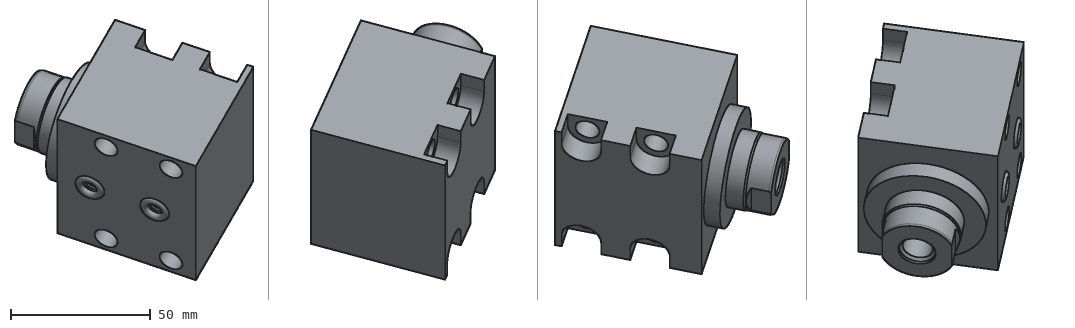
import cadquery as cq

total_length = 76.7
block_length = 54.2
block_depth = 50.85
block_height = 63.5
block_left = total_length - block_length
axis_y = 25.55

flange_diameter = 44.4
flange_thickness = 6.0
neck_diameter = 28.8
neck_length = 6.6
tip_diameter = 28.2
shoulder_length = 0.8
tip_chamfer_length = 0.9
tip_chamfer_depth = 0.3
flange_left = block_left - flange_thickness
neck_left = flange_left - neck_length

flat_spacing = 25.4
flat_length = 7.45
cutter_margin = 0.8

bore_diameter = 11.05
bore_mouth_diameter = 13.65
bore_throat_diameter = 13.05
bore_mouth_length = 0.8
bore_taper_end = 1.9
bore_depth = 15.35

bolt_hole_diameter = 8.9
bolt_pitch_x = 25.4
bolt_pitch_z = 50.8
first_bolt_x = 41.6
slot_width = 14.6
slot_depth = 8.8
bolt_columns = (first_bolt_x, first_bolt_x + bolt_pitch_x)

first_port_x = 35.2
ring_outer_diameter = 11.35
ring_inner_diameter = 5.6
ring_height = 1.15
port_diameter = 3.2
port_mouth_diameter = 4.5
gland_depth = 1.5
port_depth = 1.5
port_cone_height = 0.9
port_columns = (first_port_x, first_port_x + bolt_pitch_x)


def make_block():
    return cq.Workplane("XY").box(
        block_length, block_depth, block_height, centered=(False, False, True)
    ).translate((block_left, 0, 0))


def make_spindle():
    """Revolve the stepped flange, neck and tip about the spindle axis."""
    tip_radius = tip_diameter / 2
    neck_radius = neck_diameter / 2
    flange_radius = flange_diameter / 2
    profile = [
        (0, 0),
        (0, tip_radius - tip_chamfer_depth),
        (tip_chamfer_length, tip_radius),
        (neck_left - shoulder_length, tip_radius),
        (neck_left, neck_radius),
        (flange_left, neck_radius),
        (flange_left, flange_radius),
        (block_left, flange_radius),
        (block_left, 0),
    ]
    spindle = cq.Workplane("XY").polyline(profile).close().revolve(360, (0, 0, 0), (1, 0, 0))
    return spindle.translate((0, axis_y, 0))


def make_flat_cutter(side):
    """Material beyond one wrench flat, ending in a 45 degree ramp; side is -1 or 1."""
    flat_y = flat_spacing / 2
    outer_y = neck_diameter / 2 + cutter_margin
    ramp_end = flat_length + outer_y - flat_y
    profile = [(0, flat_y), (flat_length, flat_y), (ramp_end, outer_y), (0, outer_y)]
    points = [(x, axis_y + side * y) for x, y in profile]
    return cq.Workplane("XY").polyline(points).close().extrude(neck_diameter / 2, both=True)


def make_bore():
    """Flat-bottomed bore with a two-stage tapered mouth."""
    profile = [
        (0, 0),
        (0, bore_mouth_diameter / 2),
        (bore_mouth_length, bore_throat_diameter / 2),
        (bore_taper_end, bore_diameter / 2),
        (bore_depth, bore_diameter / 2),
        (bore_depth, 0),
    ]
    bore = cq.Workplane("XY").polyline(profile).close().revolve(360, (0, 0, 0), (1, 0, 0))
    return bore.translate((0, axis_y, 0))


def make_bolt_cutter(x, side):
    """Bolt hole and its round-ended head slot, open at the top (side 1) or bottom (side -1)."""
    hole_z = side * bolt_pitch_z / 2
    edge_z = side * block_height / 2
    slot_start = block_depth - slot_depth
    hole = cq.Workplane("XZ").center(x, hole_z).circle(bolt_hole_diameter / 2).extrude(-block_depth)
    slot_plane = cq.Workplane("XZ", origin=(x, slot_start, 0))
    slot_end = slot_plane.center(0, hole_z).circle(slot_width / 2).extrude(-slot_depth)
    slot_body = slot_plane.center(0, (hole_z + edge_z) / 2).rect(
        slot_width, abs(edge_z - hole_z)
    ).extrude(-slot_depth)
    return hole.union(slot_end).union(slot_body)


def make_gland(x):
    """Round recess reaching under the O-ring to the middle of its tube."""
    gland_diameter = (ring_outer_diameter + ring_inner_diameter) / 2
    return cq.Workplane("XZ").center(x, 0).circle(gland_diameter / 2).extrude(-gland_depth)


def make_ring(x):
    """O-ring standing proud of the front face by ring_height."""
    tube_radius = (ring_outer_diameter - ring_inner_diameter) / 4
    centre_radius = (ring_outer_diameter + ring_inner_diameter) / 4
    tube_y = tube_radius - ring_height
    ring = cq.Workplane("XY").center(centre_radius, tube_y).circle(tube_radius).revolve(
        360, (-centre_radius, 0, 0), (-centre_radius, 1, 0)
    )
    return ring.translate((x, 0, 0))


def make_port(x):
    """Blind port in the gland floor, with a 45 degree countersink and a conical bottom."""
    chamfer = (port_mouth_diameter - port_diameter) / 2
    profile = [
        (0, 0),
        (port_mouth_diameter / 2, 0),
        (port_diameter / 2, chamfer),
        (port_diameter / 2, port_depth),
        (0, port_depth + port_cone_height),
    ]
    port = cq.Workplane("XY").polyline(profile).close().revolve(360, (0, 0, 0), (0, 1, 0))
    return port.translate((x, gland_depth, 0))


spindle = make_spindle().cut(make_bore())
for side in (-1, 1):
    spindle = spindle.cut(make_flat_cutter(side))

result = make_block().union(spindle)
for x in bolt_columns:
    for side in (-1, 1):
        result = result.cut(make_bolt_cutter(x, side))
for x in port_columns:
    result = result.cut(make_gland(x)).union(make_ring(x)).cut(make_port(x))